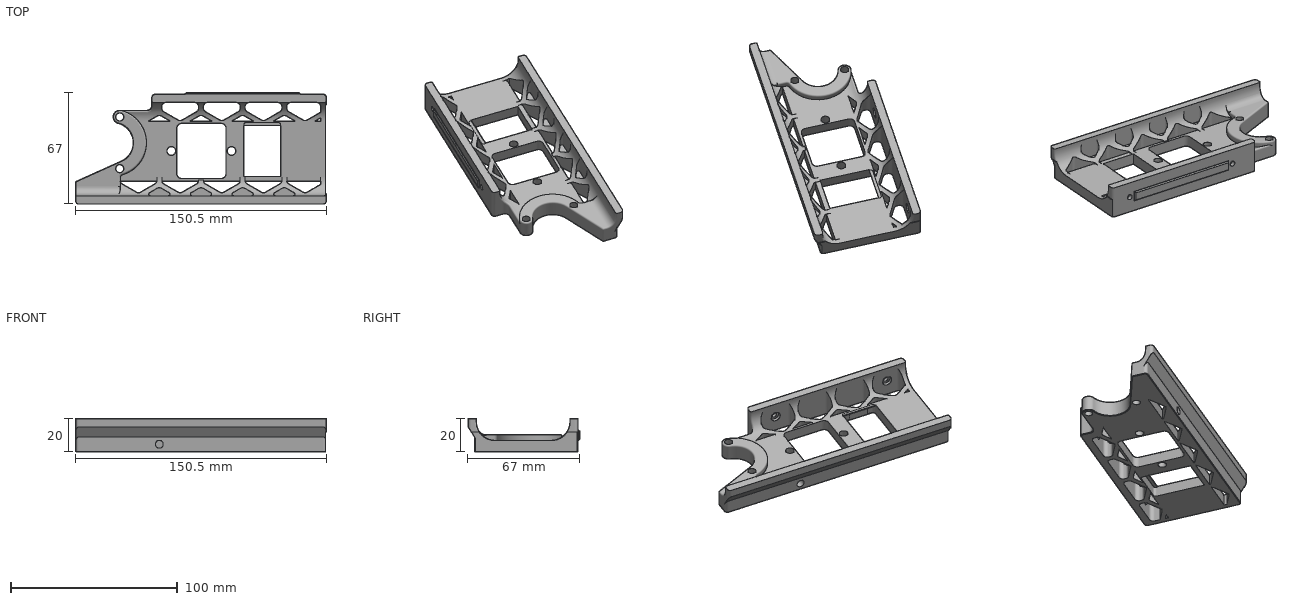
import cadquery as cq
import math

LENGTH = 150.5
HEIGHT = 20.0
BODY_END_X = 150.0
RAIL_OVERHANG_Z = 12.0

FRONT_OUTER_Y = 3.75
BACK_OUTER_Y = 66.0
RAIL_THICKNESS = 5.0
UNDERCUT_LOW_Z = 9.0
UNDERCUT_HIGH_Z = 15.0
FLOOR_Z = 7.0
COVE_RADIUS = 11.0
FRONT_INNER_Y = RAIL_THICKNESS
BACK_INNER_Y = BACK_OUTER_Y - RAIL_THICKNESS
FLOOR_BAND_FRONT_Y = 13.6
FLOOR_BAND_BACK_Y = 49.8
CORNER_RADIUS = 2.0
BOTTOM_CHAMFER = 0.4
EDGE_RADIUS = 1.0
MARGIN = 0.05

MOUNT_Z = 10.4
BOLT_X = 26.5
BOLT_SPACING = 31.0
RING_Y = 36.8
RING_RADIUS = 16.0
ARM_HALF_WIDTH = 4.0
INNER_RADIUS = RING_RADIUS - ARM_HALF_WIDTH
OUTER_RADIUS = RING_RADIUS + ARM_HALF_WIDTH
BOLT_HOLE_DIAMETER = 4.7
RING_X = BOLT_X - math.sqrt(RING_RADIUS ** 2 - (BOLT_SPACING / 2) ** 2)
BOSS_Y = RING_Y + BOLT_SPACING / 2
BOSS_TOP_Y = BOSS_Y + ARM_HALF_WIDTH
MOUNT_BASE_Z = 1.0
COVE_BASE_Y = 5.5
MOUNT_START_Y = 7.0
PAD_END_X = 26.8
PAD_CORNER_Y = 13.5
PAD_COVE_RADIUS = 5.0
COVE_EDGE_RADIUS = 0.9
PAD_NOTCH_RADIUS = 2.0
BACK_WALL_X = 45.7
WEB_RADIUS = 3.0

CELL_PITCH = 25.0
CELL_RIB = 3.0
CELL_FLATS = CELL_PITCH - CELL_RIB
CELL_RADIUS = 2.5
CELL_FRONT_WALL_RADIUS = 1.0
CELL_BACK_WALL_RADIUS = 2.5
CELL_ROW_STEP = CELL_PITCH * math.sin(math.radians(60))
CELL_END_X = BODY_END_X - CELL_RIB
FIRST_NODE_X = 50.25
FIRST_ROW_Y = -2.45

MOTOR_WINDOW = (60.75, 15.4, 90.25, 48.4)
MOTOR_WINDOW_RADIUS = 3.0
RIB_CLEARANCE = 0.9
LIPPED_WINDOW = (101.0, 16.7, 123.0, 47.1)
LIP_DEPTH = 2.0
LIP_THICKNESS = 0.6
LIP_RADIUS = 1.5
FLOOR_HOLE_DIAMETER = 5.1
FLOOR_HOLE_SPACING = 36.1

FRONT_HOLE_DIAMETER = 4.7
FRONT_HOLE_Z = 4.6
FRONT_HOLE_DEPTH = 6.0
SCREW_DIAMETER = 3.2
SCREW_HEAD_DIAMETER = 6.0
SCREW_HEAD_DEPTH = 2.0
SCREW_Z = 10.2
SCREW_SPACING_CELLS = 3
BACK_PAD_START_X = 65.8
BACK_PAD_END_X = 134.7
BACK_PAD_LOW_Z = 7.0
BACK_PAD_HIGH_Z = 13.2
BACK_PAD_THICKNESS = 1.0
BACK_PAD_CHAMFER = 0.7


def box(x_min, y_min, z_min, x_max, y_max, z_max):
    """Axis-aligned block between two corners."""
    size = (x_max - x_min, y_max - y_min, z_max - z_min)
    return cq.Workplane("XY").box(*size, centered=False).translate((x_min, y_min, z_min))


def ring_point(radius, angle):
    """Point around the ring centre, angle in radians from +X."""
    return (RING_X + radius * math.cos(angle), RING_Y + radius * math.sin(angle))


BOSS_ANGLE = math.atan2(BOLT_SPACING / 2, BOLT_X - RING_X)
CORNER_DISTANCE = math.hypot(RING_X, RING_Y - PAD_CORNER_Y)
CORNER_ANGLE = math.atan2(PAD_CORNER_Y - RING_Y, -RING_X)
TANGENT_ANGLE = CORNER_ANGLE + math.acos(INNER_RADIUS / CORNER_DISTANCE)


def edges_where(solid, test):
    """Edges of a solid whose bounding box passes a test."""
    return solid.newObject([edge for edge in solid.edges().vals() if test(edge.BoundingBox())])


def add_left_edge(outline):
    """Continue an outline round the arm's boss and inner side to the pad corner, then close it."""
    boss_side = (BOLT_X - ARM_HALF_WIDTH, BOSS_Y)
    return (
        outline.threePointArc(boss_side, ring_point(INNER_RADIUS, BOSS_ANGLE))
        .threePointArc(ring_point(INNER_RADIUS, 0), ring_point(INNER_RADIUS, TANGENT_ANGLE))
        .lineTo(0, PAD_CORNER_Y)
        .close()
    )


def front_flare():
    """Upper front rail, overhanging the lower body on a slope that runs into it."""
    slope = (UNDERCUT_HIGH_Z - UNDERCUT_LOW_Z) / FRONT_OUTER_Y
    root_y = FRONT_OUTER_Y + CORNER_RADIUS
    flare = (
        cq.Workplane("YZ")
        .moveTo(0, HEIGHT)
        .lineTo(0, UNDERCUT_HIGH_Z)
        .lineTo(root_y, UNDERCUT_HIGH_Z - slope * root_y)
        .lineTo(root_y, HEIGHT)
        .close()
        .extrude(LENGTH)
    )
    return flare.edges("|Z and <Y").fillet(CORNER_RADIUS)


def rail_body():
    """Full-height outline with rounded corners, plus the flared front rail."""
    outline = (
        cq.Workplane("XY")
        .moveTo(0, FRONT_OUTER_Y)
        .lineTo(LENGTH, FRONT_OUTER_Y)
        .lineTo(LENGTH, BACK_OUTER_Y)
        .lineTo(BACK_WALL_X, BACK_OUTER_Y)
        .lineTo(BACK_WALL_X, BOSS_TOP_Y + WEB_RADIUS)
        .radiusArc((BACK_WALL_X - WEB_RADIUS, BOSS_TOP_Y), WEB_RADIUS)
        .lineTo(BOLT_X, BOSS_TOP_Y)
    )
    body = add_left_edge(outline).extrude(HEIGHT)
    body = body.edges("|Z").edges("<Y or >Y").fillet(CORNER_RADIUS)
    body = body.faces("<Z").chamfer(BOTTOM_CHAMFER)
    return body.union(front_flare())


def channel():
    """Space between the rails: flat floor with a cove up to each rail."""
    cove_z = FLOOR_Z + COVE_RADIUS
    return (
        cq.Workplane("YZ")
        .moveTo(FRONT_INNER_Y + COVE_RADIUS, FLOOR_Z)
        .lineTo(BACK_INNER_Y - COVE_RADIUS, FLOOR_Z)
        .radiusArc((BACK_INNER_Y, cove_z), -COVE_RADIUS)
        .lineTo(BACK_INNER_Y, HEIGHT)
        .lineTo(FRONT_INNER_Y, HEIGHT)
        .lineTo(FRONT_INNER_Y, cove_z)
        .radiusArc((FRONT_INNER_Y + COVE_RADIUS, FLOOR_Z), -COVE_RADIUS)
        .close()
        .extrude(LENGTH)
    )


def round_channel_ends(body):
    """Round the channel's edge at the back rail's left end and across the whole right end."""
    def is_end(b):
        at_left = abs(b.xmin - BACK_WALL_X) < MARGIN and b.ymin > BACK_INNER_Y - MARGIN
        at_right = b.xmin > LENGTH - MARGIN and b.ymax < FRONT_INNER_Y + MARGIN
        above_cove = FLOOR_Z + COVE_RADIUS - MARGIN < b.zmin < HEIGHT - MARGIN
        upright = b.xmax - b.xmin < MARGIN and b.ymax - b.ymin < MARGIN
        return upright and above_cove and (at_left or at_right)

    return edges_where(body, is_end).fillet(EDGE_RADIUS)


def mount():
    """Raised pad and curved arm with rounded top edges."""
    notch_angle = -math.acos((PAD_END_X - RING_X) / OUTER_RADIUS)
    outline = (
        cq.Workplane("XY", origin=(0, 0, MOUNT_BASE_Z))
        .moveTo(0, MOUNT_START_Y)
        .lineTo(PAD_END_X, MOUNT_START_Y)
        .lineTo(*ring_point(OUTER_RADIUS, notch_angle))
        .threePointArc(ring_point(OUTER_RADIUS, 0), ring_point(OUTER_RADIUS, BOSS_ANGLE))
    )
    solid = add_left_edge(outline).extrude(MOUNT_Z - MOUNT_BASE_Z)
    notch = edges_where(
        solid, lambda b: b.zmax - b.zmin > MARGIN
        and abs(b.xmin - PAD_END_X) < MARGIN and b.ymin > PAD_CORNER_Y)
    solid = notch.fillet(PAD_NOTCH_RADIUS)
    top_edges = edges_where(
        solid, lambda b: b.zmin > MOUNT_Z - MARGIN and b.ymax > MOUNT_START_Y + MARGIN and b.xmax > MARGIN)
    return top_edges.fillet(EDGE_RADIUS)


def pad_cove():
    """Fillet between the pad top and the front cove."""
    cove_y = FRONT_INNER_Y + COVE_RADIUS
    cove_z = FLOOR_Z + COVE_RADIUS
    center_distance = COVE_RADIUS - PAD_COVE_RADIUS
    rise = cove_z - (MOUNT_Z + PAD_COVE_RADIUS)
    run = math.sqrt(center_distance ** 2 - rise ** 2)
    scale = COVE_RADIUS / center_distance
    upper = (cove_y - run * scale, cove_z - rise * scale)
    base = (COVE_BASE_Y, MOUNT_Z - EDGE_RADIUS / 2)
    fillet = (
        cq.Workplane("YZ")
        .moveTo(*upper)
        .radiusArc((cove_y - run, MOUNT_Z), -PAD_COVE_RADIUS)
        .lineTo(cove_y - run, base[1])
        .lineTo(*base)
        .lineTo(base[0], upper[1])
        .close()
        .extrude(PAD_END_X)
    )
    right_edges = edges_where(
        fillet, lambda b: b.xmin > PAD_END_X - MARGIN and b.zmax - b.zmin > MARGIN
        and b.ymin > COVE_BASE_Y + MARGIN and b.zmax > MOUNT_Z + MARGIN)
    return right_edges.fillet(COVE_EDGE_RADIUS)


def add_mount(body):
    """Join the mount to the body and round the pad's left edge."""
    body = body.union(mount()).union(pad_cove())
    left_edges = edges_where(
        body, lambda b: b.xmax < MARGIN and b.zmin > MOUNT_Z - MARGIN
        and b.ymin > FRONT_INNER_Y - MARGIN and b.ymax > COVE_BASE_Y)
    return left_edges.fillet(EDGE_RADIUS)


def end_step():
    """Material below the rails' overhang at the right end."""
    return box(BODY_END_X, 0, 0, LENGTH, BACK_OUTER_Y, RAIL_OVERHANG_Z)


def cell(x, y, bottom_z):
    """Honeycomb cell, points toward +Y and -Y, clipped to the channel and end rib."""
    point_radius = CELL_FLATS / 2 / math.cos(math.radians(30))
    prism = (
        cq.Workplane("XY", origin=(x, y, bottom_z))
        .transformed(rotate=(0, 0, 90))
        .polygon(6, 2 * point_radius)
        .extrude(HEIGHT)
        .edges("|Z")
        .fillet(CELL_RADIUS)
    )
    clipped = prism.intersect(box(0, FRONT_INNER_Y, 0, CELL_END_X, BACK_INNER_Y, 2 * HEIGHT))
    front_corners = edges_where(
        clipped, lambda b: b.zmax - b.zmin > MARGIN and b.ymax < FRONT_INNER_Y + MARGIN)
    back_corners = edges_where(
        clipped, lambda b: b.zmax - b.zmin > MARGIN and b.ymin > BACK_INNER_Y - MARGIN)
    if front_corners.size():
        return front_corners.fillet(CELL_FRONT_WALL_RADIUS)
    if back_corners.size():
        return back_corners.fillet(CELL_BACK_WALL_RADIUS)
    return clipped


def cut_honeycomb(body):
    """Open the coves with honeycomb cells, leaving the floor band solid."""
    rows = (
        (FIRST_NODE_X, 0, 4, FLOOR_Z),
        (FIRST_NODE_X - CELL_PITCH / 2, 1, 5, 0),
        (FIRST_NODE_X, 2, 5, 0),
        (FIRST_NODE_X + CELL_PITCH / 2, 3, 4, 0),
    )
    floor_band = box(0, FLOOR_BAND_FRONT_Y, 0, LENGTH, FLOOR_BAND_BACK_Y, FLOOR_Z)
    for first_x, row, count, bottom_z in rows:
        y = FIRST_ROW_Y + row * CELL_ROW_STEP
        for index in range(count):
            cutter = cell(first_x + index * CELL_PITCH, y, bottom_z)
            body = body.cut(cutter.cut(floor_band))
    return body


def cut_windows(body):
    """Motor window with clearance over the front ribs, and the window with a back lip."""
    x_min, y_min, x_max, y_max = MOTOR_WINDOW
    motor = box(x_min, y_min, 0, x_max, y_max, HEIGHT).edges("|Z").fillet(MOTOR_WINDOW_RADIUS)
    clearance = box(x_min, y_min - RIB_CLEARANCE, FLOOR_Z, x_max, y_max, HEIGHT)
    x_min, y_min, x_max, y_max = LIPPED_WINDOW
    lipped = box(x_min, y_min, 0, x_max, y_max, HEIGHT)
    undercut = box(x_min, y_min, 0, x_max, y_max + LIP_DEPTH, FLOOR_Z - LIP_THICKNESS)
    undercut = undercut.edges("|Z and >Y").fillet(LIP_RADIUS)
    return body.cut(motor).cut(clearance).cut(lipped).cut(undercut)


def vertical_hole(x, y, diameter):
    """Cylinder through the full height."""
    return cq.Workplane("XY").center(x, y).circle(diameter / 2).extrude(HEIGHT)


def cut_vertical_holes(body):
    """Bolt holes in the mount and the screw holes beside the motor window."""
    for side in (-1, 1):
        body = body.cut(vertical_hole(BOLT_X, RING_Y + side * BOLT_SPACING / 2, BOLT_HOLE_DIAMETER))
    window_x = (MOTOR_WINDOW[0] + MOTOR_WINDOW[2]) / 2
    window_y = (MOTOR_WINDOW[1] + MOTOR_WINDOW[3]) / 2
    for side in (-1, 1):
        hole_x = window_x + side * FLOOR_HOLE_SPACING / 2
        body = body.cut(vertical_hole(hole_x, window_y, FLOOR_HOLE_DIAMETER))
    return body


def hole_along_y(x, z, diameter, start_y, end_y):
    """Cylinder running toward +Y between two levels."""
    return (
        cq.Workplane("XZ", origin=(x, start_y, z))
        .circle(diameter / 2)
        .extrude(start_y - end_y)
    )


def cut_rail_holes(body):
    """Blind hole in the front face and two counterbored screw holes in the back rail."""
    front_end_y = FRONT_OUTER_Y + FRONT_HOLE_DEPTH
    body = body.cut(hole_along_y(FIRST_NODE_X, FRONT_HOLE_Z, FRONT_HOLE_DIAMETER, 0, front_end_y))
    first_cell_x = FIRST_NODE_X + CELL_PITCH / 2
    for screw_x in (first_cell_x, first_cell_x + SCREW_SPACING_CELLS * CELL_PITCH):
        head_y = BACK_INNER_Y + SCREW_HEAD_DEPTH
        body = body.cut(hole_along_y(screw_x, SCREW_Z, SCREW_HEAD_DIAMETER, BACK_INNER_Y, head_y))
        body = body.cut(hole_along_y(screw_x, SCREW_Z, SCREW_DIAMETER, BACK_INNER_Y, BACK_OUTER_Y))
    return body


def back_pad():
    """Low bevelled pad on the back face."""
    pad = box(
        BACK_PAD_START_X, BACK_OUTER_Y, BACK_PAD_LOW_Z,
        BACK_PAD_END_X, BACK_OUTER_Y + BACK_PAD_THICKNESS, BACK_PAD_HIGH_Z)
    return pad.faces(">Y").chamfer(BACK_PAD_CHAMFER)


body = round_channel_ends(rail_body().cut(channel()))
body = cut_honeycomb(body.cut(end_step()))
body = add_mount(body)
body = cut_windows(body)
body = cut_vertical_holes(body)
body = cut_rail_holes(body)
result = body.union(back_pad())